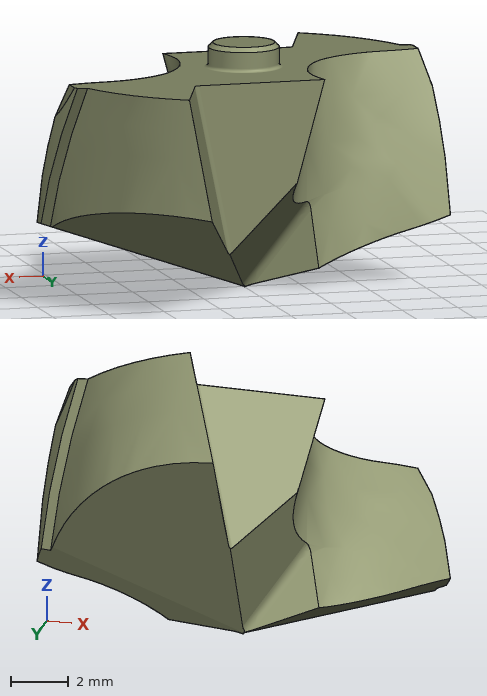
import cadquery as cq
import math

margin_radius = 7.2
relief_radius = 6.9
helix_angle = 30
blank_depth = 8.64
reach = 11.52
twist = math.degrees(blank_depth * math.tan(math.radians(helix_angle)) / margin_radius)

margin_back_angle = 21
relief_end_angle = 22.5
margin_front_angle = 14.5
flute_points = [
    (6.55, 1.71),
    (5.9, 1.63),
    (5.23, 1.58),
    (4.03, 1.27),
    (2.95, 0.56),
    (2.19, -0.55),
    (1.83, -2.1),
    (2.0, -3.23),
]
flute_end_angle = -64

slot_corner = (-2.66, -3.23)
slot_wall_direction = (-0.98, -2.7)
slot_wall_lean = 0.207
slot_back_lean = 0.02
slot_corner_radius = 0.2

point_depth = 7.73
edge_slope = 0.35
primary_slope = 0.08
secondary_slope = 0.394
gash_slope = 0.986
gash_wall_slope = -0.52
gash_root_radius = 0.32

bevel_start = 6.78
bevel_slope = 0.27
bevel_depth = 2.16

pin_radius = 1.24
pin_height = 0.86
pin_chamfer = 0.16
pin_root_fillet = 0.13


def polar(radius, angle):
    a = math.radians(angle)
    return (radius * math.cos(a), radius * math.sin(a))


def opposite(point):
    return (-point[0], -point[1])


def half_turn(solid):
    return solid.rotate((0, 0, 0), (0, 0, 1), 180)


def cut_both_lobes(body, cutter):
    return body.cut(cutter).cut(half_turn(cutter))


def twisted_blank():
    margin_back = polar(margin_radius, margin_back_angle)
    margin_middle = polar(margin_radius, (margin_back_angle + margin_front_angle) / 2)
    margin_front = polar(margin_radius, margin_front_angle)
    relief_end = polar(relief_radius, relief_end_angle)
    relief_start = polar(relief_radius, flute_end_angle)
    relief_middle = polar(relief_radius, (flute_end_angle + relief_end_angle - 180) / 2)
    flute = flute_points + [relief_start]

    outline = cq.Workplane("XY").moveTo(*margin_front)
    outline = outline.spline(flute, includeCurrent=True)
    outline = outline.threePointArc(relief_middle, opposite(relief_end))
    outline = outline.lineTo(*opposite(margin_back))
    outline = outline.threePointArc(opposite(margin_middle), opposite(margin_front))
    outline = outline.spline([opposite(p) for p in flute], includeCurrent=True)
    outline = outline.threePointArc(opposite(relief_middle), relief_end)
    outline = outline.lineTo(*margin_back)
    outline = outline.threePointArc(margin_middle, margin_front).close()
    blank = outline.twistExtrude(blank_depth, twist)
    return blank.rotate((0, 0, 0), (0, 0, 1), -twist).translate((0, 0, -blank_depth))


def slot_cutter():
    """Wedge open towards -Y and +X, with a leaning corner."""
    def section(z):
        x = slot_corner[0] - slot_wall_lean * z
        y = slot_corner[1] - slot_back_lean * z
        wall_x = x + 3 * slot_wall_direction[0]
        wall_y = y + 3 * slot_wall_direction[1]
        points = [(x, y, z), (wall_x, wall_y, z), (reach, wall_y, z), (reach, y, z)]
        return cq.Wire.makePolygon([cq.Vector(*p) for p in points], close=True)

    wedge = cq.Workplane(cq.Solid.makeLoft([section(0), section(-blank_depth)], True))
    middle = blank_depth / 2
    corner_middle = (
        slot_corner[0] + slot_wall_lean * middle,
        slot_corner[1] + slot_back_lean * middle,
        -middle,
    )
    return wedge.edges(cq.NearestToPointSelector(corner_middle)).fillet(slot_corner_radius)


def point_cutter():
    """Everything below the primary and secondary relief of the -X lobe."""
    def section(x):
        z = -point_depth - edge_slope * x
        points = [
            (x, -reach, z + secondary_slope * reach),
            (x, 0, z),
            (x, reach, z - primary_slope * reach),
            (x, reach, -2 * reach),
            (x, -reach, -2 * reach),
        ]
        return cq.Wire.makePolygon([cq.Vector(*p) for p in points], close=True)

    return cq.Workplane(cq.Solid.makeLoft([section(0), section(-reach)], True))


def gash_cutter():
    """Wedge under a rising floor, closed on its +Y side by an upright wall."""
    def section(x):
        wall_y = gash_wall_slope * x
        floor = -point_depth + gash_slope * x
        points = [
            (x, wall_y, floor - gash_slope * wall_y),
            (x, -reach, floor + gash_slope * reach),
            (x, -reach, -4 * reach),
            (x, wall_y, -4 * reach),
        ]
        return cq.Wire.makePolygon([cq.Vector(*p) for p in points], close=True)

    wedge = cq.Workplane(cq.Solid.makeLoft([section(-reach), section(reach)], True))
    return wedge.edges(cq.NearestToPointSelector((0, 0, -point_depth))).fillet(gash_root_radius)


def bevel_cutter():
    wedge = cq.Workplane("XZ", origin=(0, reach / 2, 0)).moveTo(bevel_start, 0)
    wedge = wedge.lineTo(bevel_start + bevel_slope * bevel_depth, -bevel_depth)
    return wedge.lineTo(reach, -bevel_depth).lineTo(reach, 0).close().extrude(reach)


def locating_pin():
    shoulder = pin_height - pin_chamfer
    toe = pin_radius + pin_root_fillet
    bend = pin_root_fillet * (1 - math.sqrt(0.5))
    half = cq.Workplane("XZ").moveTo(0, -0.15).lineTo(toe, -0.15).lineTo(toe, 0)
    half = half.threePointArc((pin_radius + bend, bend), (pin_radius, pin_root_fillet))
    half = half.lineTo(pin_radius, shoulder).lineTo(pin_radius - pin_chamfer, pin_height)
    return half.lineTo(0, pin_height).close().revolve(360, (0, 0), (0, 1))


body = twisted_blank()
for cutter in (slot_cutter(), point_cutter(), gash_cutter(), bevel_cutter()):
    body = cut_both_lobes(body, cutter)
result = body.union(locating_pin())